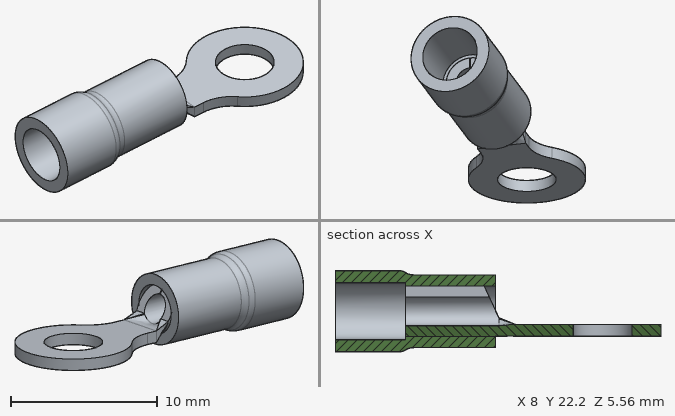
import cadquery as cq
import math


overall_length = 22.2

sleeve_length = 10.92
cable_end_radius = 2.78
front_radius = 2.49
cable_bore_radius = 1.93
shoulder_start = 4.33
shoulder_middle = 4.77
shoulder_end = 5.33

barrel_radius = 1.7
barrel_bore_radius = 0.98
barrel_start = shoulder_middle
barrel_end = 11.15
seam_width = 0.07
bevel_foot_height = -0.45
bevel_angle = 65.0
side_arc = math.radians(5)

plate_thickness = 0.82
plate_bottom = -barrel_radius
plate_top = plate_bottom + plate_thickness
plate_start = 12.25
ring_radius = 4.0
hole_radius = 2.0
ring_center = overall_length - ring_radius
neck_half_width = barrel_radius
neck_fillet = 3.0


def make_sleeve():
    """Stepped tube with a rounded outer shoulder and a wider cable entry."""
    shoulder_run = shoulder_end - shoulder_start
    shoulder_drop = cable_end_radius - front_radius
    middle_share = (shoulder_middle - shoulder_start) / shoulder_run
    middle_radius = cable_end_radius - shoulder_drop * middle_share
    profile = (
        cq.Workplane("XY")
        .moveTo(cable_bore_radius, 0)
        .lineTo(cable_end_radius, 0)
        .lineTo(cable_end_radius, shoulder_start)
        .tangentArcPoint((middle_radius, shoulder_middle), relative=False)
        .tangentArcPoint((front_radius, shoulder_end), relative=False)
        .lineTo(front_radius, sleeve_length)
        .lineTo(barrel_radius, sleeve_length)
        .lineTo(barrel_radius, barrel_start)
        .lineTo(cable_bore_radius, barrel_start)
        .close()
    )
    return profile.revolve(360, (0, 0, 0), (0, 1, 0))


def cross_section(y):
    """Sketch plane across the axis at y, with local x = X and local y = Z."""
    return cq.Plane(origin=(0, y, 0), xDir=(1, 0, 0), normal=(0, -1, 0))


def make_barrel():
    """Rolled tube with an open seam on top and a bevelled front end."""
    length = barrel_end - barrel_start
    tube = (
        cq.Workplane(cross_section(barrel_end))
        .circle(barrel_radius)
        .circle(barrel_bore_radius)
        .extrude(length)
    )
    seam = cq.Workplane("XY").box(
        seam_width, length, barrel_radius, centered=(True, False, False)
    ).translate((0, barrel_start, 0))
    bevel_rise = barrel_radius - bevel_foot_height
    bevel_run = bevel_rise / math.tan(math.radians(bevel_angle))
    bevel = (
        cq.Workplane("YZ")
        .moveTo(barrel_end, bevel_foot_height)
        .lineTo(barrel_end, barrel_radius)
        .lineTo(barrel_end - bevel_run, barrel_radius)
        .close()
        .extrude(barrel_radius, both=True)
    )
    return tube.cut(seam).cut(bevel)


def rectangle_wire(y, half_width, bottom, top):
    return (
        cq.Workplane(cross_section(y))
        .moveTo(-half_width, top)
        .lineTo(-half_width, bottom)
        .lineTo(half_width, bottom)
        .lineTo(half_width, top)
        .close()
        .val()
    )


def round_bottom_wire(y, radius, top):
    """Circle cut off flat at top, with its arc split into sides and bottom."""
    half_chord = math.sqrt(radius**2 - top**2)
    chord_angle = math.asin(-top / radius)
    split_angle = chord_angle + side_arc
    side_angle = chord_angle + side_arc / 2
    corner_x = radius * math.cos(split_angle)
    corner_z = -radius * math.sin(split_angle)
    side_x = radius * math.cos(side_angle)
    side_z = -radius * math.sin(side_angle)
    return (
        cq.Workplane(cross_section(y))
        .moveTo(-half_chord, top)
        .threePointArc((-side_x, side_z), (-corner_x, corner_z))
        .threePointArc((0, -radius), (corner_x, corner_z))
        .threePointArc((side_x, side_z), (half_chord, top))
        .close()
        .val()
    )


def make_transition():
    """Trough that flattens from the lower part of the barrel into the tongue."""
    outside = cq.Solid.makeLoft([
        rectangle_wire(plate_start, neck_half_width, plate_bottom, plate_top),
        round_bottom_wire(barrel_end, barrel_radius, bevel_foot_height),
    ], True)
    trough = cq.Solid.makeLoft([
        rectangle_wire(plate_start, neck_half_width, plate_top, barrel_radius),
        round_bottom_wire(barrel_end, barrel_bore_radius, bevel_foot_height),
    ], True)
    return cq.Workplane(outside).cut(cq.Workplane(trough))


def make_tongue():
    """Flat ring joined to a straight neck by tangent fillets."""
    fillet_x = neck_half_width + neck_fillet
    center_distance = ring_radius + neck_fillet
    fillet_y = ring_center - math.sqrt(center_distance**2 - fillet_x**2)
    ring_share = ring_radius / center_distance
    tangent_x = fillet_x * ring_share
    tangent_y = ring_center - (ring_center - fillet_y) * ring_share
    middle_angle = math.atan2(tangent_y - fillet_y, fillet_x - tangent_x) / 2
    middle_x = fillet_x - neck_fillet * math.cos(middle_angle)
    middle_y = fillet_y + neck_fillet * math.sin(middle_angle)
    blank = (
        cq.Workplane("XY", origin=(0, 0, plate_bottom))
        .moveTo(-neck_half_width, plate_start)
        .lineTo(neck_half_width, plate_start)
        .lineTo(neck_half_width, fillet_y)
        .threePointArc((middle_x, middle_y), (tangent_x, tangent_y))
        .threePointArc((0, ring_center + ring_radius), (-tangent_x, tangent_y))
        .threePointArc((-middle_x, middle_y), (-neck_half_width, fillet_y))
        .close()
        .extrude(plate_thickness)
    )
    hole = (
        cq.Workplane("XY", origin=(0, ring_center, plate_bottom))
        .circle(hole_radius)
        .extrude(plate_thickness)
    )
    return blank.cut(hole)


def make_terminal():
    return make_barrel().union(make_transition()).union(make_tongue())


sleeve = make_sleeve()
terminal = make_terminal()
result = cq.Compound.makeCompound([sleeve.val(), *terminal.solids().vals()])